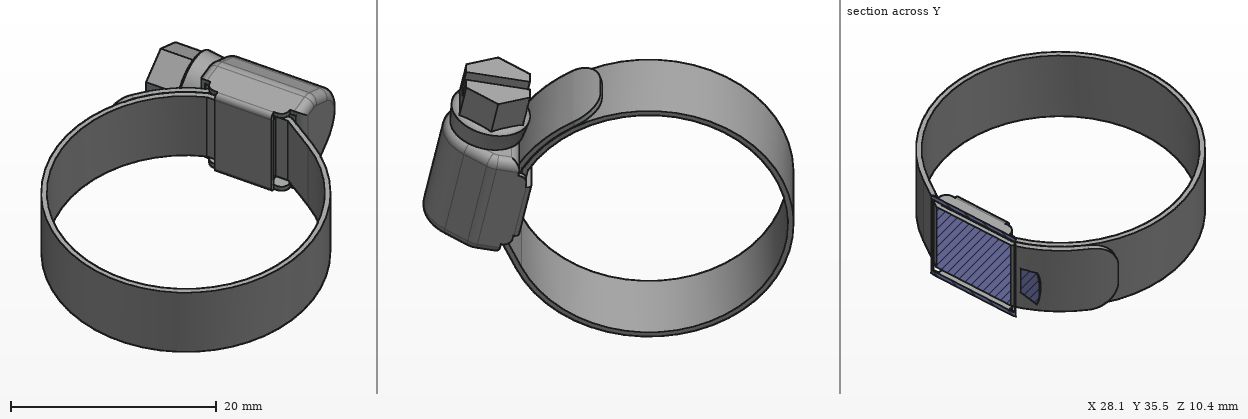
import cadquery as cq
import math


BAND_WIDTH = 8.0
BAND_THICKNESS = 0.55
RING_RADIUS = 14.06
RING_INNER_RADIUS = RING_RADIUS - BAND_THICKNESS
LAYER_GAP = 0.06
TAIL_INNER_RADIUS = RING_RADIUS + LAYER_GAP
TAIL_RADIUS = TAIL_INNER_RADIUS + BAND_THICKNESS
RING_BOTTOM_ANGLE = 270.0
TAIL_END_ANGLE = 150.0
TAIL_MID_ANGLE = 130.0
TAIL_CORNER_RADIUS = 2.95
STRAIGHT_START_ANGLE = 55.7
ANCHOR_END_X = 3.0

HOUSING_LENGTH = 11.5
HOUSING_WIDTH = 10.4
HOUSING_TOP = 21.4
HOUSING_BOTTOM = 13.8
CROWN_RADIUS = 4.2
SLOPE_ANGLE = 30.0
SHOULDER_RADIUS = 1.95
END_ROUND = 1.0
LEG_LENGTH = 8.7
LEG_THICKNESS = 0.57
LEG_CORNER_RADIUS = 0.9
SADDLE_LENGTH = 6.16
SADDLE_TOP = 12.83
SADDLE_THICKNESS = 0.6
BAND_POCKET_LENGTH = 9.9

LOWER_LAYER_TOP = SADDLE_TOP + BAND_THICKNESS
UPPER_LAYER_BOTTOM = LOWER_LAYER_TOP + LAYER_GAP
UPPER_LAYER_TOP = UPPER_LAYER_BOTTOM + BAND_THICKNESS

SCREW_AXIS_Y = HOUSING_TOP - CROWN_RADIUS
HEX_SIDES = 6
HEX_ACROSS_FLATS = 6.3
HEX_START_X = -11.49
SLOT_WIDTH = 1.2
SLOT_DEPTH = 2.0
COLLAR_RIM_X = -7.75
COLLAR_RIM_RADIUS = 3.9
COLLAR_BACK_RADIUS = 3.64
COLLAR_BACK_X = -HOUSING_LENGTH / 2
COLLAR_FACE_X = -8.1
COLLAR_FACE_RADIUS = HEX_ACROSS_FLATS / 2
COLLAR_DOME_POINT = (-7.97, 3.63)


def polar(radius, degrees):
    angle = math.radians(degrees)
    return (radius * math.cos(angle), radius * math.sin(angle))


def left_of_circle(radius, height):
    """Point on the left half of a circle about the origin at the given height."""
    return (-math.sqrt(radius**2 - height**2), height)


def on_straight_run(radius, height):
    """Point at the given height on the tangent that leaves the circle for the housing."""
    start_x, start_y = polar(radius, STRAIGHT_START_ANGLE)
    run = (height - start_y) * math.tan(math.radians(STRAIGHT_START_ANGLE))
    return (start_x - run, height)


def make_band():
    profile = (
        cq.Workplane("XY")
        .workplane(offset=-BAND_WIDTH / 2)
        .moveTo(ANCHOR_END_X, LOWER_LAYER_TOP)
        .lineTo(*left_of_circle(RING_RADIUS, LOWER_LAYER_TOP))
        .threePointArc(polar(RING_RADIUS, RING_BOTTOM_ANGLE), polar(RING_RADIUS, STRAIGHT_START_ANGLE))
        .lineTo(*on_straight_run(RING_RADIUS, UPPER_LAYER_TOP))
        .lineTo(*left_of_circle(TAIL_RADIUS, UPPER_LAYER_TOP))
        .threePointArc(polar(TAIL_RADIUS, TAIL_MID_ANGLE), polar(TAIL_RADIUS, TAIL_END_ANGLE))
        .lineTo(*polar(TAIL_INNER_RADIUS, TAIL_END_ANGLE))
        .threePointArc(
            polar(TAIL_INNER_RADIUS, TAIL_MID_ANGLE),
            left_of_circle(TAIL_INNER_RADIUS, UPPER_LAYER_BOTTOM),
        )
        .lineTo(*on_straight_run(RING_INNER_RADIUS, UPPER_LAYER_BOTTOM))
        .lineTo(*polar(RING_INNER_RADIUS, STRAIGHT_START_ANGLE))
        .threePointArc(
            polar(RING_INNER_RADIUS, RING_BOTTOM_ANGLE),
            left_of_circle(RING_INNER_RADIUS, SADDLE_TOP),
        )
        .lineTo(ANCHOR_END_X, SADDLE_TOP)
        .close()
    )
    band = profile.extrude(BAND_WIDTH)
    tail_mid_radius = (TAIL_RADIUS + TAIL_INNER_RADIUS) / 2
    tip_x, tip_y = polar(tail_mid_radius, TAIL_END_ANGLE)
    for side in (-1, 1):
        tip_corner = cq.selectors.NearestToPointSelector((tip_x, tip_y, side * BAND_WIDTH / 2))
        band = band.edges(tip_corner).fillet(TAIL_CORNER_RADIUS)
    return band


def make_housing_shell():
    """Rounded body above the band: domed crown, sloping flanks and upright side walls."""
    slope = math.radians(SLOPE_ANGLE)
    half_width = HOUSING_WIDTH / 2
    crown_y = SCREW_AXIS_Y + CROWN_RADIUS * math.sin(slope)
    crown_z = CROWN_RADIUS * math.cos(slope)
    shoulder_y = crown_y - (half_width - crown_z) / math.tan(slope)
    body = (
        cq.Workplane("YZ")
        .workplane(offset=-HOUSING_LENGTH / 2)
        .moveTo(HOUSING_BOTTOM, -half_width)
        .lineTo(shoulder_y, -half_width)
        .lineTo(crown_y, -crown_z)
        .threePointArc((HOUSING_TOP, 0), (crown_y, crown_z))
        .lineTo(shoulder_y, half_width)
        .lineTo(HOUSING_BOTTOM, half_width)
        .close()
        .extrude(HOUSING_LENGTH)
    )
    for side in (-1, 1):
        shoulder = cq.selectors.NearestToPointSelector((0, shoulder_y, side * half_width))
        body = body.edges(shoulder).fillet(SHOULDER_RADIUS)
    return body.faces("<X or >X").edges().fillet(END_ROUND)


def make_leg(side):
    """Side plate that reaches down past one edge of the band; side is -1 or 1 along Z."""
    leg_height = UPPER_LAYER_TOP - SADDLE_TOP
    return (
        cq.Workplane("XY")
        .box(LEG_LENGTH, leg_height, LEG_THICKNESS)
        .edges("|Z and <Y")
        .fillet(LEG_CORNER_RADIUS)
        .translate((0, SADDLE_TOP + leg_height / 2, side * (HOUSING_WIDTH - LEG_THICKNESS) / 2))
    )


def make_saddle():
    """Plate under the band, with its long edges bent up into the legs."""
    return (
        cq.Workplane("XY")
        .box(SADDLE_LENGTH, SADDLE_THICKNESS, HOUSING_WIDTH)
        .edges("|X and <Y")
        .fillet(LEG_THICKNESS)
        .translate((0, SADDLE_TOP - SADDLE_THICKNESS / 2, 0))
    )


def make_housing():
    pocket_depth = UPPER_LAYER_TOP - HOUSING_BOTTOM
    band_pocket = (
        cq.Workplane("XY")
        .box(BAND_POCKET_LENGTH, pocket_depth, HOUSING_WIDTH - 2 * LEG_THICKNESS)
        .translate((0, HOUSING_BOTTOM + pocket_depth / 2, 0))
    )
    housing = make_housing_shell().cut(band_pocket)
    for side in (-1, 1):
        housing = housing.union(make_leg(side))
    return housing.union(make_saddle())


def make_screw():
    """Slotted hexagon head with a tapered collar that bears on the end of the housing."""
    collar = (
        cq.Workplane("XY")
        .moveTo(COLLAR_FACE_X, 0)
        .lineTo(COLLAR_FACE_X, COLLAR_FACE_RADIUS)
        .threePointArc(COLLAR_DOME_POINT, (COLLAR_RIM_X, COLLAR_RIM_RADIUS))
        .lineTo(COLLAR_BACK_X, COLLAR_BACK_RADIUS)
        .lineTo(COLLAR_BACK_X, 0)
        .close()
        .revolve(360, (0, 0, 0), (1, 0, 0))
    )
    hex_across_corners = HEX_ACROSS_FLATS / math.cos(math.pi / HEX_SIDES)
    head = (
        cq.Workplane("YZ")
        .workplane(offset=HEX_START_X)
        .transformed(rotate=(0, 0, 90))
        .polygon(HEX_SIDES, hex_across_corners)
        .extrude(COLLAR_RIM_X - HEX_START_X)
    )
    slot = (
        cq.Workplane("XY")
        .box(SLOT_DEPTH, hex_across_corners, SLOT_WIDTH)
        .translate((HEX_START_X + SLOT_DEPTH / 2, 0, 0))
    )
    return head.union(collar).cut(slot).translate((0, SCREW_AXIS_Y, 0))


band = make_band()
housing = make_housing()
screw = make_screw()

result = cq.Compound.makeCompound([band.solids().val(), housing.solids().val(), screw.solids().val()])